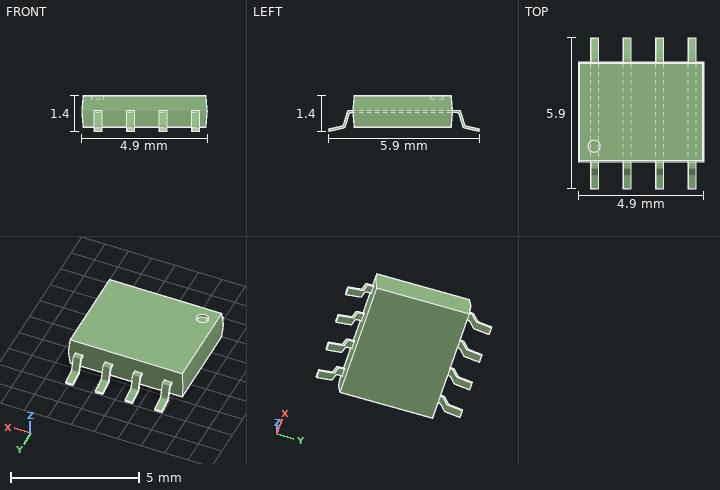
import cadquery as cq
import math

housing_length = 4.9
housing_width = 3.9
half_height = 0.62
draft_angle = 5.0

dimple_radius = 0.235
dimple_edge_distance = 0.62
dimple_depth = 0.14

lead_count = 4
lead_pitch = 1.27
lead_width = 0.31
lead_thickness = 0.095
lead_span = 5.9
lead_drop = 0.78
leg_angle = 73.5
foot_angle = 13.0
shoulder_reach = 2.165
bend_radius = 0.1
bend_zone_reach = 2.655

housing_shift_x = -0.09
housing_shift_y = 0.055


def lead_side():
    """Outline points (Y, Z) of the +Y half: along the top edge, then the bottom edge, both outward."""
    half_thickness = lead_thickness / 2
    leg = math.radians(leg_angle)
    foot = math.radians(foot_angle)

    tip_y = lead_span / 2 - half_thickness * math.sin(foot)
    tip_z = -lead_drop + half_thickness * math.cos(foot)
    leg_slope = math.tan(leg)
    foot_slope = math.tan(foot)
    knee_y = (shoulder_reach * leg_slope - tip_y * foot_slope - tip_z) / (leg_slope - foot_slope)
    knee_z = -(knee_y - shoulder_reach) * leg_slope

    bends = [
        (shoulder_reach, 0.0, leg / 2, leg / 2),
        (knee_y, knee_z, (leg + foot) / 2, (leg - foot) / 2),
        (tip_y, tip_z, foot, 0.0),
    ]
    top = []
    bottom = []
    for y, z, normal_tilt, half_turn in bends:
        reach = half_thickness / math.cos(half_turn)
        offset_y = reach * math.sin(normal_tilt)
        offset_z = reach * math.cos(normal_tilt)
        top.append((y + offset_y, z + offset_z))
        bottom.append((y - offset_y, z - offset_z))
    return top, bottom


def mirrored(points):
    """The same points reflected to the -Y half."""
    return [(-y, z) for y, z in points]


def make_lead(x):
    """One gull-wing lead centred at x, continuous from its -Y tip to its +Y tip."""
    top, bottom = lead_side()
    outline = top + bottom[::-1] + mirrored(bottom) + mirrored(top)[::-1]
    strip = (
        cq.Workplane("YZ", origin=(x - lead_width / 2, 0, 0))
        .polyline(outline).close()
        .extrude(lead_width)
    )
    bend_zone = cq.selectors.BoxSelector(
        (x - lead_width, -bend_zone_reach, -lead_drop),
        (x + lead_width, bend_zone_reach, lead_drop),
    )
    return strip.edges("|X").edges(bend_zone).fillet(bend_radius).solids()


def make_housing(leads):
    """Tapered block with the dimple and a matching channel for each lead."""
    parting = cq.Workplane("XY").center(housing_shift_x, housing_shift_y)
    upper = parting.rect(housing_length, housing_width).extrude(half_height, taper=draft_angle)
    lower = parting.rect(housing_length, housing_width).extrude(-half_height, taper=draft_angle)
    housing = upper.union(lower)

    dimple_x = housing_shift_x - housing_length / 2 + dimple_edge_distance
    dimple_y = housing_shift_y - housing_width / 2 + dimple_edge_distance
    dimple = (
        cq.Workplane("XY", origin=(dimple_x, dimple_y, half_height))
        .circle(dimple_radius)
        .extrude(-dimple_depth)
    )
    housing = housing.cut(dimple)
    for lead in leads:
        housing = housing.cut(lead)
    return housing.solids()


first_lead_x = -(lead_count - 1) / 2 * lead_pitch
leads = [make_lead(first_lead_x + i * lead_pitch) for i in range(lead_count)]
housing = make_housing(leads)

result = cq.Compound.makeCompound([housing.val(), *[lead.val() for lead in leads]])